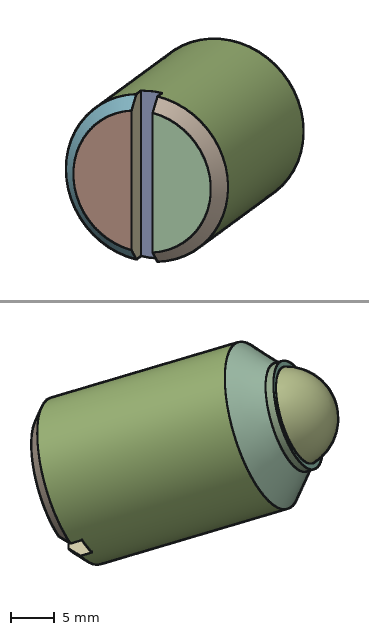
import cadquery as cq
import math


body_radius = 10.0
rear_chamfer = 1.53

overall_length = 34.46
housing_length = 30.0
collar_radius = 6.5
collar_length = 1.0
ball_radius = 6.0

slot_width = 2.6
slot_depth = 3.0

cone_length = body_radius - collar_radius
cone_end = housing_length - collar_length
cone_start = cone_end - cone_length

ball_center = overall_length - ball_radius
ball_rim_radius = math.sqrt(ball_radius**2 - (housing_length - ball_center) ** 2)
arc_middle_offset = ball_rim_radius / 2
arc_middle_y = ball_center + math.sqrt(ball_radius**2 - arc_middle_offset**2)


def make_plunger():
    """Revolve the half outline of body, cone, collar and exposed ball about the Y axis."""
    outline = (
        cq.Workplane("XY")
        .moveTo(0, 0)
        .lineTo(body_radius - rear_chamfer, 0)
        .lineTo(body_radius, rear_chamfer)
        .lineTo(body_radius, cone_start)
        .lineTo(collar_radius, cone_end)
        .lineTo(collar_radius, housing_length)
        .lineTo(ball_rim_radius, housing_length)
        .threePointArc((arc_middle_offset, arc_middle_y), (0, overall_length))
        .close()
    )
    return outline.revolve(360, (0, 0, 0), (0, 1, 0))


def make_driver_slot():
    """Screwdriver slot running right across the rear face, along Z."""
    return cq.Workplane("XY").box(
        slot_width, slot_depth, 2 * body_radius, centered=(True, False, True)
    )


result = make_plunger().cut(make_driver_slot())